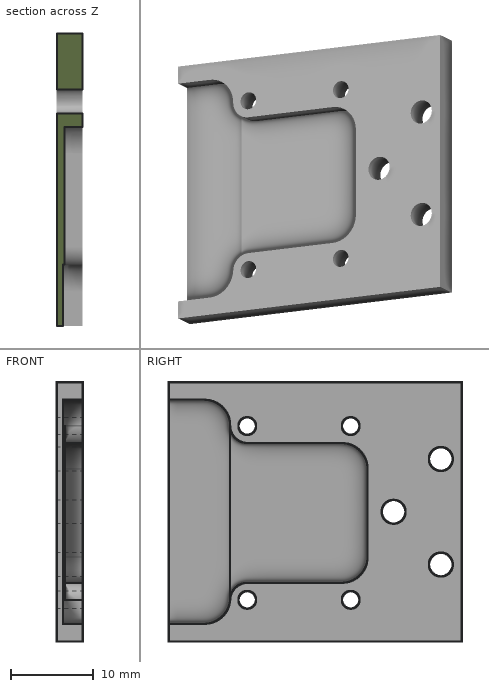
import cadquery as cq

thickness = 3.17
length = 35.43
height = 31.35
front_y = -length / 2
back_y = length / 2

screw_hole_diameter = 2.85
screw_pair_inset = 2.54
screw_centre_inset = 8.25
screw_pair_y = back_y - screw_pair_inset
screw_pair_spacing = 12.75
screw_centre_y = back_y - screw_centre_inset

corner_hole_diameter = 2.1
corner_front_y = -8.22
corner_back_y = 4.28
corner_centre_z = -0.14
corner_spacing_z = 21.0
boss_wall = 1.0
boss_radius = corner_hole_diameter / 2 + boss_wall

pocket_corner_radius = 3.15
entry_floor = 0.78
entry_rail = 2.13
inner_floor = 1.0

entry_back_y = corner_front_y - boss_radius
inner_back_y = corner_back_y + boss_radius
inner_mouth_width = corner_spacing_z
inner_width = corner_spacing_z - 2 * boss_radius


def prism(outline, floor):
    """Extrude a YZ outline from the pocket floor to the pocketed face."""
    return outline.extrude(thickness - floor).translate((floor, 0, 0))


def entry_pocket():
    """Wide pocket open at the front end, with rounded back corners."""
    depth = entry_back_y - front_y
    width = height - 2 * entry_rail
    outline = cq.Workplane("YZ").center(front_y + depth / 2, 0).rect(depth, width)
    return prism(outline, entry_floor).edges("|X and >Y").fillet(pocket_corner_radius)


def inner_pocket():
    """Narrower pocket whose mouth curves around the two front bosses."""
    half_mouth = inner_mouth_width / 2
    half_width = inner_width / 2
    outline = (
        cq.Workplane("YZ", origin=(0, 0, corner_centre_z))
        .moveTo(front_y, -half_mouth)
        .lineTo(entry_back_y, -half_mouth)
        .radiusArc((corner_front_y, -half_width), boss_radius)
        .lineTo(inner_back_y, -half_width)
        .lineTo(inner_back_y, half_width)
        .lineTo(corner_front_y, half_width)
        .radiusArc((entry_back_y, half_mouth), boss_radius)
        .lineTo(front_y, half_mouth)
        .close()
    )
    return prism(outline, inner_floor).edges("|X and >Y").fillet(pocket_corner_radius)


def through_holes(points, diameter):
    """Round cutters through the full thickness at (y, z) points."""
    return cq.Workplane("YZ").pushPoints(points).circle(diameter / 2).extrude(thickness)


screw_points = [
    (screw_pair_y, screw_pair_spacing / 2),
    (screw_pair_y, -screw_pair_spacing / 2),
    (screw_centre_y, 0),
]
corner_points = [
    (y, corner_centre_z + side * corner_spacing_z / 2)
    for y in (corner_front_y, corner_back_y)
    for side in (-1, 1)
]

plate = cq.Workplane("YZ").rect(length, height).extrude(thickness)
result = (
    plate.cut(entry_pocket())
    .cut(inner_pocket())
    .cut(through_holes(screw_points, screw_hole_diameter))
    .cut(through_holes(corner_points, corner_hole_diameter))
)